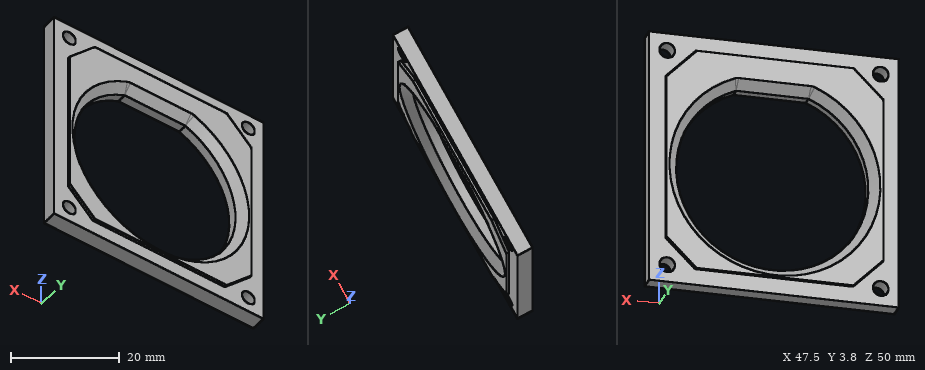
import cadquery as cq
import math

plate_width = 47.55
plate_height = 49.95
total_depth = 3.8
pad_depth = 0.6
plate_depth = total_depth - pad_depth

pad_inset = 3.15
pad_corner_cut = 5.65
pad_width = plate_width - 2 * pad_inset
pad_height = plate_height - 2 * pad_inset

opening_radius = 18.3
opening_center_z = -1.45
opening_flat_z = 15.5
straight_wall_depth = 2.0
opening_flare = total_depth - straight_wall_depth
flare_angle = 45.0

hole_diameter = 2.9
hole_edge_distance = 3.45
hole_spacing_x = plate_width - 2 * hole_edge_distance
hole_spacing_z = plate_height - 2 * hole_edge_distance


def slab(width, height, front_y, depth):
    """Rectangular slab centered in X and Z, reaching from front_y toward +Y."""
    return cq.Workplane("XY").box(width, depth, height).translate((0, front_y + depth / 2, 0))


def opening_outline(front_y):
    """Circle with a flat top, drawn in the XZ plane at front_y."""
    flat_height = opening_flat_z - opening_center_z
    flat_half_width = math.sqrt(opening_radius**2 - flat_height**2)
    return (
        cq.Workplane("XZ", origin=(0, front_y, opening_center_z))
        .moveTo(-flat_half_width, flat_height)
        .threePointArc((0, -opening_radius), (flat_half_width, flat_height))
        .close()
    )


def opening_cutter():
    """Straight opening through the part, flaring out toward the rear face."""
    straight = opening_outline(0).extrude(-total_depth)
    flare = opening_outline(straight_wall_depth).extrude(-opening_flare, taper=-flare_angle)
    return straight.union(flare)


def mounting_holes():
    """Four cylinders along Y at the corners of the plate."""
    return (
        cq.Workplane("XZ")
        .rect(hole_spacing_x, hole_spacing_z, forConstruction=True)
        .vertices()
        .circle(hole_diameter / 2)
        .extrude(-total_depth)
    )


plate = slab(plate_width, plate_height, 0, plate_depth)
pad = slab(pad_width, pad_height, plate_depth, pad_depth).edges("|Y").chamfer(pad_corner_cut)

body = plate.union(pad)
result = body.cut(opening_cutter()).cut(mounting_holes())